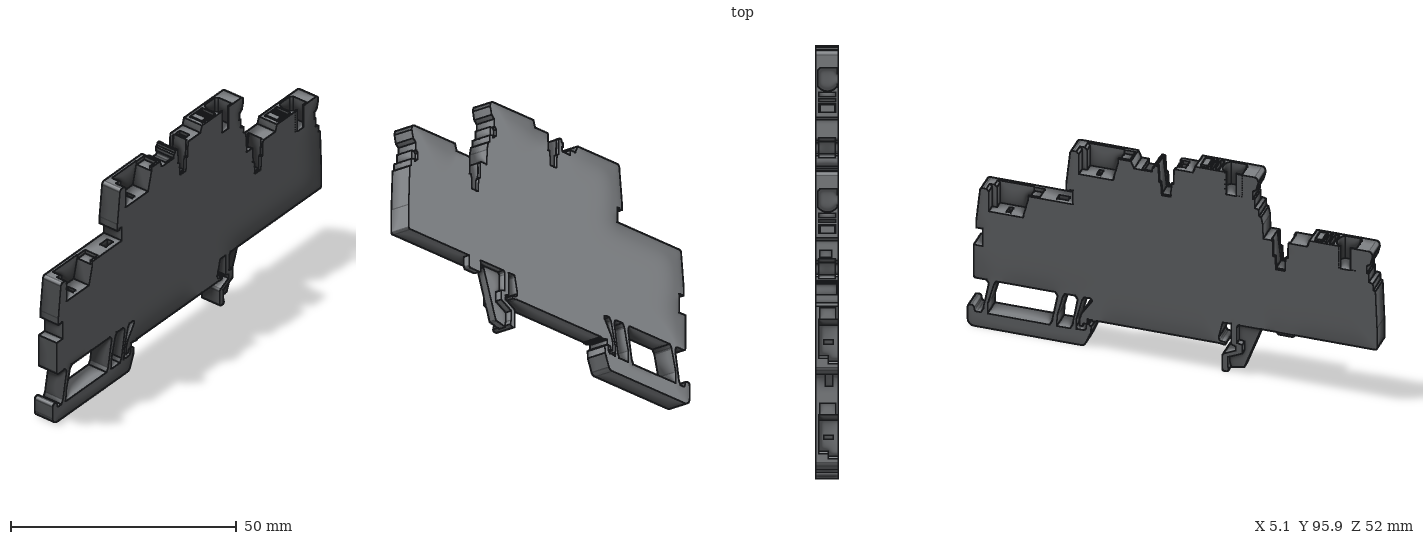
import cadquery as cq
import math

THICKNESS = 5.1
LENGTH = 95.9
HEIGHT = 52.0

TIER_RISE = 13.9
WIRE_TIER_SHIFT = 26.8
PLUG_TIER_SHIFT = 21.1

BODY_BOTTOM = 12.6
RAIL_FACE = 7.0
DECK = 36.2
BUTTON_RISE = 0.3
LEVER_TOP = HEIGHT - TIER_RISE - BUTTON_RISE
UPPER_DECK = DECK + TIER_RISE
LEDGE = 48.35
FOOT_TOP = 3.8

FUNNEL_DEPTH = 5.8
FUNNEL_LEFT = 0.5
FUNNEL_RIGHT = 4.8
FUNNEL_BACK = 91.0
FUNNEL_FRONT = 85.9
FUNNEL_CORNER = 0.6
FUNNEL_FRONT_BULGE = 1.1
FUNNEL_SIDE_BACK = 89.7
FUNNEL_SIDE_FRONT = 87.4

BUTTON_POCKET_LEFT = 0.8
BUTTON_POCKET_RIGHT = 4.5
BUTTON_POCKET_BACK = 85.6
BUTTON_POCKET_FRONT = 81.2
BUTTON_POCKET_DEPTH = 1.4
BUTTON_LEFT = 1.1
BUTTON_RIGHT = 4.2
BUTTON_LENGTH = 1.6
CROSSBAR_FRONT = 83.1
CROSSBAR_WIDTH = 0.5
CROSSBAR_PITCH = 1.1

SLOT_FLOOR = 28.8
GROOVE_FLOOR = SLOT_FLOOR - 0.2
GROOVE_LEFT = 0.8
GROOVE_RIGHT = 4.4

PLUG_LEFT = 0.8
PLUG_STEP_X = 2.8
PLUG_DEPTH = 5.8
PLUG_BACK = 12.95
PLUG_FRONT_LEFT = 6.1
PLUG_FRONT_RIGHT = 5.0
PLUG_CHAMFER = 0.6
WINDOW_LEFT = 1.0
WINDOW_RIGHT = 4.5
WINDOW_BACK = 16.8
WINDOW_FRONT = 14.2
WINDOW_DEPTH = 1.0

CONTACT_LEFT = 1.8
CONTACT_RIGHT = 3.9
CONTACT_FRONT = 8.7
CONTACT_WIDTH = 1.0
CONTACT_DEPTH = 1.0

MARKER_LEFT = 1.0
MARKER_RIGHT = 3.6
MARKER_FRONT = 49.1
MARKER_BACK = 50.65
MARKER_DEPTH = 1.0

HOLE_LEFT = 2.2
HOLE_RIGHT = 3.8
HOLE_FRONT = 20.5
HOLE_BACK = 23.1
HOLE_DEPTH = 1.9

JOINT_Z = BODY_BOTTOM + 0.1
TAB_THICKNESS = 1.5
TAB_BOTTOM = 9.7
LEG_FLARE = 0.7
CLIP_WEB_INSET = 1.6

EDGE_NOTCH_DEPTH = 0.8
TROUGH_LENGTH = 4.7
TROUGH_FLOOR = 47.2


def shifted(points, dy, dz):
    """Move outline points (y, z) or (y, z, corner radius)."""
    return [(p[0] + dy, p[1] + dz) + tuple(p[2:]) for p in points]


def corner_arc(before, corner, after, radius):
    """Start, middle and end of the round that replaces a sharp corner."""
    to_before = cq.Vector(before[0] - corner[0], before[1] - corner[1]).normalized()
    to_after = cq.Vector(after[0] - corner[0], after[1] - corner[1]).normalized()
    half_angle = to_before.getAngle(to_after) / 2
    tip = cq.Vector(corner[0], corner[1])
    trim = radius / math.tan(half_angle)
    middle_distance = radius / math.sin(half_angle) - radius
    middle = tip + (to_before + to_after).normalized() * middle_distance
    return tip + to_before * trim, middle, tip + to_after * trim


def plate(points, x_start=0.0, x_end=THICKNESS):
    """Extrude a closed (y, z[, radius]) outline from x_start to x_end. The first corner stays sharp."""
    sketch = cq.Workplane("YZ", origin=(x_start, 0, 0)).moveTo(*points[0][:2])
    for index in range(1, len(points)):
        corner = points[index]
        if len(corner) == 2:
            sketch = sketch.lineTo(*corner)
            continue
        after = points[(index + 1) % len(points)]
        start, middle, end = corner_arc(points[index - 1], corner, after, corner[2])
        sketch = sketch.lineTo(start.x, start.y)
        sketch = sketch.threePointArc((middle.x, middle.y), (end.x, end.y))
    return sketch.close().extrude(x_end - x_start)


def block(x_range, y_range, z_range):
    """Box between two limits on each axis."""
    size = [abs(high - low) for low, high in (x_range, y_range, z_range)]
    corner = (min(x_range), min(y_range), min(z_range))
    return cq.Workplane("XY", origin=corner).box(*size, centered=False)



WIRE_SIDE = [
    (95.5, 27.7),
    (95.1, 27.9),
    (95.0, 29.5),
    (94.0, 29.8),
    (94.0, 32.0),
    (93.5, 32.0),
    (93.5, 33.9),
    (94.4, 34.6),
    (94.9, 36.55),
    (94.7, LEVER_TOP, 0.9),
    (80.1, LEVER_TOP),
    (79.5, DECK),
]

SLOT = [
    (75.1, DECK, 0.4),
    (75.0, 32.2),
    (74.5, 32.1),
    (74.3, SLOT_FLOOR, 0.2),
    (72.2, SLOT_FLOOR, 0.2),
    (72.0, 31.9),
    (71.6, 32.2),
    (71.5, DECK, 0.4),
]

PLUG_SIDE = [
    (3.0, DECK, 0.8),
    (2.0, 27.4),
    (2.0, 25.6),
]


def body():
    """Housing outline with the stepped tiers on top and the rail bridge below."""
    outline = [(LENGTH, 18.4)]
    outline += WIRE_SIDE + SLOT
    outline += [(69.3, DECK), (69.2, 39.8)]
    outline += shifted(WIRE_SIDE + SLOT, -WIRE_TIER_SHIFT, TIER_RISE)
    outline += [(43.8, UPPER_DECK), (43.65, 49.5), (43.3, 49.2)]
    outline += [(43.2, LEDGE), (39.0, LEDGE), (38.3, UPPER_DECK)]
    outline += shifted(PLUG_SIDE, PLUG_TIER_SHIFT, TIER_RISE)
    outline += [(24.0, 39.4), (24.0, 39.7), (24.7, 39.7), (24.7, DECK)]
    outline += PLUG_SIDE
    outline += [(3.55, 25.6), (3.55, 21.1), (1.4, 21.1), (1.4, BODY_BOTTOM, 0.7)]
    outline += [
        (29.6, BODY_BOTTOM, 0.6),
        (26.8, 8.3, 1.0),
        (26.3, 6.8),
        (26.3, 5.0),
        (27.0, 5.0),
        (27.1, 5.8, 0.4),
        (28.1, 5.85),
        (28.1, RAIL_FACE),
        (29.0, RAIL_FACE),
        (29.2, RAIL_FACE - 0.2),
        (30.1, RAIL_FACE - 0.2),
        (30.3, RAIL_FACE),
        (59.1, RAIL_FACE),
        (60.3, RAIL_FACE - 0.2),
        (60.6, 7.5, 0.3),
        (59.1, 7.7, 0.4),
        (58.8, 8.4),
        (59.8, BODY_BOTTOM, 0.5),
        (LENGTH, BODY_BOTTOM, 0.5),
    ]
    return plate(outline)



def leg(top_front, top_back, foot_front, foot_back):
    """Slanted spring leg that flares where it meets the body."""
    return plate([
        (top_front - LEG_FLARE, JOINT_Z),
        (top_front, BODY_BOTTOM - 0.8, 0.8),
        (foot_front + 0.6, 4.8),
        (foot_front, FOOT_TOP - 0.1),
        (foot_back, FOOT_TOP - 0.1),
        (foot_back + 0.1, 6.6),
        (top_back, BODY_BOTTOM - 0.8, 0.8),
        (top_back + LEG_FLARE, JOINT_Z),
    ])


def rail_foot():
    """Foot bar with a catch at each end, hung on three legs."""
    bar = plate([
        (14.4, 0),
        (0, 0, 1.6),
        (0, 5.4, 0.7),
        (1.4, 5.4, 0.7),
        (1.7, FOOT_TOP, 0.5),
        (25.4, FOOT_TOP),
        (25.5, 4.8),
        (25.5, 4.0, 0.5),
        (27.7, 4.0, 0.8),
        (27.8, 5.2),
        (27.8, 5.85),
        (28.4, 5.8),
        (29.0, 5.3),
        (28.9, 3.6),
        (27.3, 0, 1.15),
    ])
    legs = leg(5.0, 6.2, 3.1, 4.7).union(leg(21.1, 22.35, 19.2, 20.9))
    return bar.union(legs).union(leg(25.8, 26.9, 24.0, 25.4))


def rail_clip():
    """Full-width spring strip backed by a thinner web."""
    strip = plate([
        (64.8, JOINT_Z),
        (63.1, BODY_BOTTOM, 0.8),
        (63.1, 7.9),
        (64.4, 7.6),
        (64.4, 5.4),
        (60.9, 3.7),
        (60.9, 1.6),
        (61.2, 0.5),
        (60.9, 0, 0.4),
        (59.7, 0, 0.5),
        (59.7, 4.3, 0.7),
        (62.8, 5.85),
        (62.8, 6.9),
        (61.8, 7.3),
        (61.8, JOINT_Z),
    ])
    web = plate([
        (69.3, JOINT_Z),
        (68.5, 12.2),
        (64.3, 0.9, 0.4),
        (60.8, 0.2),
        (60.6, 4.0),
        (63.8, 5.8),
        (62.5, 7.9),
        (62.5, JOINT_Z),
    ], CLIP_WEB_INSET, THICKNESS - CLIP_WEB_INSET)
    return strip.union(web)


def locating_tab():
    """Short tab under the wire end, flush with the -X face."""
    return plate([
        (75.3, JOINT_Z),
        (75.3, TAB_BOTTOM, 0.6),
        (71.3, TAB_BOTTOM, 0.6),
        (71.3, JOINT_Z),
    ], 0, TAB_THICKNESS)



def wire_funnel():
    """Pocket for the wire, with a rounded front and an opening through the +X wall."""
    floor = LEVER_TOP - FUNNEL_DEPTH
    arc_y = FUNNEL_FRONT + FUNNEL_FRONT_BULGE
    middle_x = (FUNNEL_LEFT + FUNNEL_RIGHT) / 2
    pocket = (
        cq.Workplane("XY", origin=(0, 0, floor))
        .moveTo(FUNNEL_RIGHT, FUNNEL_BACK)
        .lineTo(FUNNEL_LEFT + FUNNEL_CORNER, FUNNEL_BACK)
        .lineTo(FUNNEL_LEFT, FUNNEL_BACK - FUNNEL_CORNER)
        .lineTo(FUNNEL_LEFT, arc_y)
        .threePointArc((middle_x, FUNNEL_FRONT), (FUNNEL_RIGHT, arc_y))
        .close()
        .extrude(FUNNEL_DEPTH)
    )
    side = block((middle_x, THICKNESS), (FUNNEL_SIDE_FRONT, FUNNEL_SIDE_BACK), (floor, LEVER_TOP))
    return pocket.union(side)


def button_pocket():
    """Pocket around the release button, leaving two crossbars standing."""
    floor = LEVER_TOP - BUTTON_POCKET_DEPTH
    x_range = (BUTTON_POCKET_LEFT, BUTTON_POCKET_RIGHT)
    pocket = block(x_range, (BUTTON_POCKET_FRONT, BUTTON_POCKET_BACK), (floor, LEVER_TOP))
    for bar in range(2):
        bar_front = CROSSBAR_FRONT + bar * CROSSBAR_PITCH
        pocket = pocket.cut(block(x_range, (bar_front, bar_front + CROSSBAR_WIDTH), (floor, LEVER_TOP)))
    return pocket


def release_button():
    """Button that stands slightly above the lever top."""
    return block(
        (BUTTON_LEFT, BUTTON_RIGHT),
        (BUTTON_POCKET_FRONT, BUTTON_POCKET_FRONT + BUTTON_LENGTH),
        (LEVER_TOP - BUTTON_POCKET_DEPTH, LEVER_TOP + BUTTON_RISE),
    )


def slot_groove():
    """Smooth tapered groove in the middle of the stepped test slot."""
    return plate([
        (75.5, DECK),
        (74.6, GROOVE_FLOOR),
        (71.9, GROOVE_FLOOR),
        (71.1, DECK),
    ], GROOVE_LEFT, GROOVE_RIGHT)


def wire_edge_notch():
    """Small notch in the -X edge of the wire face."""
    return plate([
        (94.1, 32.0),
        (93.2, 32.0),
        (92.8, 31.6),
        (92.8, 30.1),
        (93.7, 29.4),
        (94.1, 29.8),
    ], 0, EDGE_NOTCH_DEPTH)


def plug_opening():
    """Plug recess open to +X with a stepped front wall, plus a shallow window behind it."""
    floor = DECK - PLUG_DEPTH
    window_floor = DECK - WINDOW_DEPTH

    def recess(front, x_start, x_end):
        return plate([
            (WINDOW_FRONT, window_floor),
            (WINDOW_FRONT, DECK),
            (front - PLUG_CHAMFER, DECK),
            (front, DECK - PLUG_CHAMFER),
            (front, floor),
            (PLUG_BACK, floor),
        ], x_start, x_end)

    window = block((WINDOW_LEFT, WINDOW_RIGHT), (WINDOW_FRONT, WINDOW_BACK), (window_floor, DECK))
    left_part = recess(PLUG_FRONT_LEFT, PLUG_LEFT, PLUG_STEP_X)
    right_part = recess(PLUG_FRONT_RIGHT, PLUG_STEP_X, THICKNESS)
    contact = block(
        (CONTACT_LEFT, CONTACT_RIGHT),
        (CONTACT_FRONT, CONTACT_FRONT + CONTACT_WIDTH),
        (floor - CONTACT_DEPTH, floor),
    )
    return window.union(left_part).union(right_part).union(contact)



def marker_pocket():
    """Shallow marker seat in the upper deck, next to the test slot."""
    return block(
        (MARKER_LEFT, MARKER_RIGHT),
        (MARKER_FRONT, MARKER_BACK),
        (UPPER_DECK - MARKER_DEPTH, UPPER_DECK),
    )


def deck_hole():
    """Blind rectangular hole in the lower deck, in front of the upper tier."""
    return block((HOLE_LEFT, HOLE_RIGHT), (HOLE_FRONT, HOLE_BACK), (DECK - HOLE_DEPTH, DECK))


def ledge_trough():
    """Trough across the sunken ledge, open to -X and closed by a thin +X wall."""
    return plate([
        (43.6, LEDGE),
        (43.6, TROUGH_FLOOR, 0.5),
        (40.8, TROUGH_FLOOR),
        (40.8, LEDGE),
    ], 0, TROUGH_LENGTH)


result = body().union(rail_foot()).union(rail_clip()).union(locating_tab())

for tier in range(2):
    wire_move = (0, -tier * WIRE_TIER_SHIFT, tier * TIER_RISE)
    plug_move = (0, tier * PLUG_TIER_SHIFT, tier * TIER_RISE)
    for wire_cut in (wire_funnel(), button_pocket(), slot_groove(), wire_edge_notch()):
        result = result.cut(wire_cut.translate(wire_move))
    result = result.union(release_button().translate(wire_move))
    result = result.cut(plug_opening().translate(plug_move))

for single_cut in (marker_pocket(), deck_hole(), ledge_trough()):
    result = result.cut(single_cut)